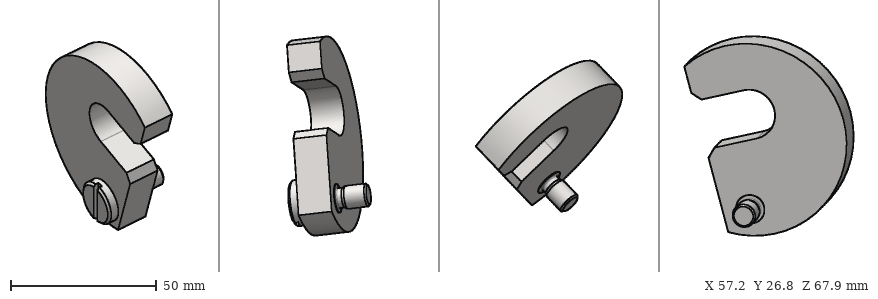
import cadquery as cq

disc_radius = 33.95
disc_thickness = 11.8

notch_tilt = 15.0
notch_radius = 8.7
notch_height = 8.95
flat_distance = 18.4
mouth_chamfer = 3.0

screw_drop = 24.5
head_radius = 8.0
head_height = 3.95
head_chamfer = 0.9
driver_slot_width = 2.05
driver_slot_depth = 2.0

shoulder_radius = 5.0
shoulder_projection = 0.2
neck_radius = 3.45
neck_fillet = 0.35
neck_length = 2.05
taper_length = 1.0
thread_radius = 4.0
tip_chamfer = 0.6
screw_projection = 11.05


def make_disc():
    """Solid disc with its front face at Y = 0 and its back face toward +Y."""
    return cq.Workplane("XZ").circle(disc_radius).extrude(-disc_thickness)


def make_notch():
    """Open-ended notch with a chamfered mouth, plus all material beyond the flat."""
    reach = 2 * disc_radius
    mouth_half_width = notch_radius + mouth_chamfer
    return (
        cq.Workplane("XZ")
        .moveTo(0, notch_radius)
        .lineTo(flat_distance - mouth_chamfer, notch_radius)
        .lineTo(flat_distance, mouth_half_width)
        .lineTo(flat_distance, reach)
        .lineTo(reach, reach)
        .lineTo(reach, -reach)
        .lineTo(flat_distance, -reach)
        .lineTo(flat_distance, -mouth_half_width)
        .lineTo(flat_distance - mouth_chamfer, -notch_radius)
        .lineTo(0, -notch_radius)
        .threePointArc((-notch_radius, 0), (0, notch_radius))
        .close()
        .extrude(-disc_thickness)
        .rotate((0, 0, 0), (0, 1, 0), notch_tilt)
        .translate((0, 0, notch_height))
    )


def make_screw():
    """Shoulder screw revolved about the Y axis, with a slotted head at the front."""
    shoulder_end = disc_thickness + shoulder_projection
    taper_start = shoulder_end + neck_length
    thread_start = taper_start + taper_length
    tip = disc_thickness + screw_projection
    screw = (
        cq.Workplane("XY")
        .moveTo(0, -head_height)
        .lineTo(head_radius - head_chamfer, -head_height)
        .lineTo(head_radius, -head_height + head_chamfer)
        .lineTo(head_radius, 0)
        .lineTo(shoulder_radius, 0)
        .lineTo(shoulder_radius, shoulder_end)
        .lineTo(neck_radius + neck_fillet, shoulder_end)
        .tangentArcPoint((neck_radius, shoulder_end + neck_fillet), relative=False)
        .lineTo(neck_radius, taper_start)
        .lineTo(thread_radius, thread_start)
        .lineTo(thread_radius, tip - tip_chamfer)
        .lineTo(thread_radius - tip_chamfer, tip)
        .lineTo(0, tip)
        .close()
        .revolve(360, (0, 0, 0), (0, 1, 0))
    )
    driver_slot = cq.Workplane("XY").box(
        driver_slot_width, driver_slot_depth, 2 * head_radius
    ).translate((0, -head_height + driver_slot_depth / 2, 0))
    return screw.cut(driver_slot).translate((0, 0, -screw_drop))


washer = make_disc().cut(make_notch())
result = washer.union(make_screw())